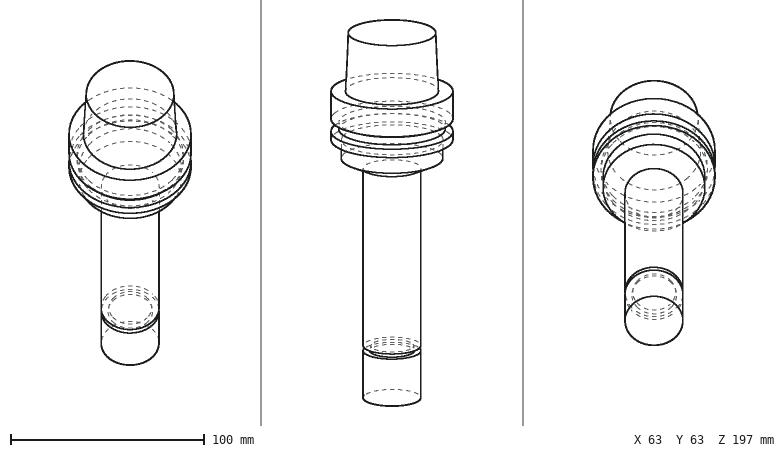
import cadquery as cq

total_height = 197.0
shaft_diameter = 30.0

nut_height = 25.5
neck_height = 2.8
neck_base_diameter = 23.0
neck_tip_diameter = 22.0

taper_height = 31.5
taper_top_diameter = 45.3
taper_base_diameter = 48.0

flange_diameter = 63.0
upper_flange_height = 15.0
upper_flank_height = 1.5
groove_floor_height = 4.0
lower_flank_height = 1.2
lower_flange_height = 4.5
groove_diameter = 55.0

collar_diameter = 52.6
collar_height = 10.0
cone_height = 5.3

holder_bottom_z = nut_height + neck_height
flange_top_z = total_height - taper_height
upper_flange_bottom_z = flange_top_z - upper_flange_height
groove_top_z = upper_flange_bottom_z - upper_flank_height
groove_bottom_z = groove_top_z - groove_floor_height
lower_flange_top_z = groove_bottom_z - lower_flank_height
flange_bottom_z = lower_flange_top_z - lower_flange_height
collar_bottom_z = flange_bottom_z - collar_height
cone_bottom_z = collar_bottom_z - cone_height


def revolve_profile(stations):
    """Revolve (diameter, z) stations, listed upward, into a solid about Z."""
    bottom_z = stations[0][1]
    top_z = stations[-1][1]
    outline = [(diameter / 2, z) for diameter, z in stations]
    profile = cq.Workplane("XZ").polyline([(0, bottom_z), *outline, (0, top_z)]).close()
    return profile.revolve(360, (0, 0), (0, 1))


def make_holder():
    """Shaft, cone, collar, grooved flange and taper shank in one piece."""
    return revolve_profile([
        (shaft_diameter, holder_bottom_z),
        (shaft_diameter, cone_bottom_z),
        (collar_diameter, collar_bottom_z),
        (collar_diameter, flange_bottom_z),
        (flange_diameter, flange_bottom_z),
        (flange_diameter, lower_flange_top_z),
        (groove_diameter, groove_bottom_z),
        (groove_diameter, groove_top_z),
        (flange_diameter, upper_flange_bottom_z),
        (flange_diameter, flange_top_z),
        (taper_base_diameter, flange_top_z),
        (taper_top_diameter, total_height),
    ])


def make_nut():
    """Clamping nut with a slightly tapered neck that butts against the shaft."""
    return revolve_profile([
        (shaft_diameter, 0),
        (shaft_diameter, nut_height),
        (neck_base_diameter, nut_height),
        (neck_tip_diameter, holder_bottom_z),
    ])


holder = make_holder()
nut = make_nut()

result = cq.Compound.makeCompound([holder.val(), nut.val()])